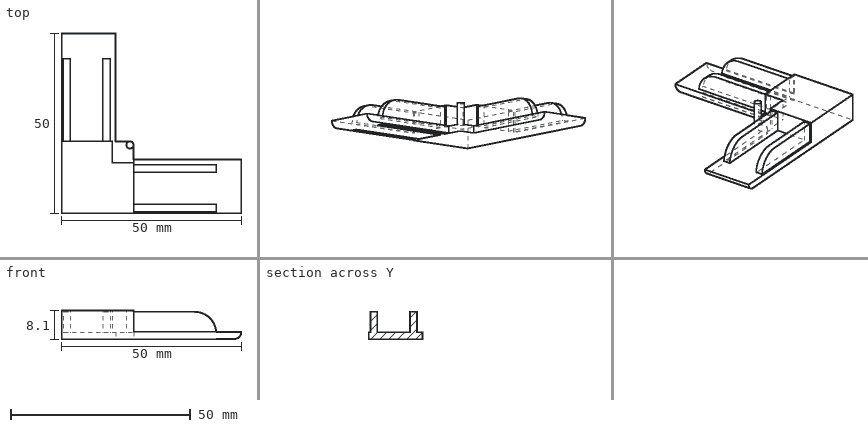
import cadquery as cq

arm_reach = 50.0
arm_width = 15.0
corner_size = 20.0
corner_height = 8.1

plate_thickness = 2.0
x_plate_lift = 0.1

rib_end = 43.0
rib_height = 7.7
rib_nose_radius = 6.0
rib_thickness = 2.0
outer_rib_offset = 0.45
inner_rib_offset = 11.45

notch_size = 6.0
pin_diameter = 2.0


def plate_along_x(bottom):
    """Flat arm plate whose lower end edge is rounded over the full thickness."""
    top = bottom + plate_thickness
    return (
        cq.Workplane("XZ")
        .moveTo(0, bottom)
        .lineTo(arm_reach - plate_thickness, bottom)
        .radiusArc((arm_reach, top), -plate_thickness)
        .lineTo(0, top)
        .close()
        .extrude(-arm_width)
    )


def rib_along_x(offset):
    """Upright rib from the corner block, with a quarter-round upper nose."""
    return (
        cq.Workplane("XZ", origin=(0, offset, 0))
        .lineTo(rib_end, 0)
        .lineTo(rib_end, rib_height - rib_nose_radius)
        .radiusArc((rib_end - rib_nose_radius, rib_height), -rib_nose_radius)
        .lineTo(0, rib_height)
        .close()
        .extrude(-rib_thickness)
    )


def arm_along_x(plate_bottom):
    arm = plate_along_x(plate_bottom)
    for offset in (outer_rib_offset, inner_rib_offset):
        arm = arm.union(rib_along_x(offset))
    block_space = cq.Workplane("XY").box(corner_size, corner_size, corner_height, centered=False)
    return arm.cut(block_space)


def swap_x_and_y(arm):
    """Reflect an arm in the diagonal plane x = y."""
    return arm.mirror("YZ").rotate((0, 0, 0), (0, 0, 1), -90)


def corner_block():
    """Square block with a rounded inner corner, notched around an upright pin."""
    pin_radius = pin_diameter / 2
    pin_center = corner_size - pin_radius
    notch_start = corner_size - notch_size
    block = (
        cq.Workplane("XY")
        .box(corner_size, corner_size, corner_height, centered=False)
        .edges("|Z and >X and >Y")
        .fillet(pin_radius)
    )
    notch = (
        cq.Workplane("XY", origin=(notch_start, notch_start, plate_thickness))
        .box(notch_size, notch_size, corner_height, centered=False)
    )
    pin = (
        cq.Workplane("XY")
        .center(pin_center, pin_center)
        .circle(pin_radius)
        .extrude(corner_height)
    )
    return block.cut(notch).union(pin)


x_arm = arm_along_x(x_plate_lift)
y_arm = swap_x_and_y(arm_along_x(0))

result = corner_block().union(x_arm).union(y_arm)